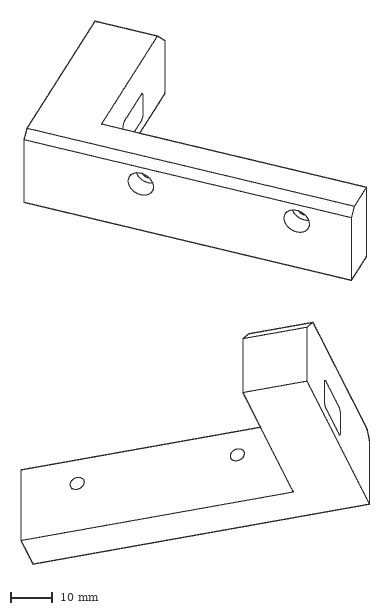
import cadquery as cq

LENGTH_X = 84.04
DEPTH_Y = 51.91
HEIGHT_Z = 21.0

LEG_WIDTH = 16.04
ARM_WIDTH = 10.0

FRONT_CHAMFER = 2.0
BACK_CHAMFER = 5.0

SCREW_DIAMETER = 3.5
HEAD_DIAMETER = 6.5
HEAD_DEPTH = 5.0
FIRST_SCREW_X = 30.0
SCREW_SPACING = 40.0
SCREW_COUNT = 2
SCREW_Z = 14.0

WINDOW_WIDTH = 13.0
WINDOW_HEIGHT = 8.0
WINDOW_CORNER_RADIUS = 1.0
WINDOW_CENTER_Y = 30.75
WINDOW_BOTTOM_Z = 3.0


def make_body():
    """L-shaped block with its outer corner at the origin and chamfered top edges."""
    plan = [
        (0, 0),
        (LENGTH_X, 0),
        (LENGTH_X, ARM_WIDTH),
        (LEG_WIDTH, ARM_WIDTH),
        (LEG_WIDTH, DEPTH_Y),
        (0, DEPTH_Y),
    ]
    body = cq.Workplane("XY").polyline(plan).close().extrude(HEIGHT_Z)
    body = body.faces("<Y").edges(">Z").chamfer(FRONT_CHAMFER)
    return body.faces(">Y").edges(">Z").chamfer(BACK_CHAMFER)


def make_screw_hole(x):
    """Through hole along Y with a counterbore for the screw head in the front face."""
    front = cq.Workplane("XZ").center(x, SCREW_Z)
    shank = front.circle(SCREW_DIAMETER / 2).extrude(-ARM_WIDTH)
    head = front.circle(HEAD_DIAMETER / 2).extrude(-HEAD_DEPTH)
    return shank.union(head)


def make_window():
    """Rounded rectangular opening running along X through the leg."""
    center_z = WINDOW_BOTTOM_Z + WINDOW_HEIGHT / 2
    return (
        cq.Workplane("YZ")
        .center(WINDOW_CENTER_Y, center_z)
        .rect(WINDOW_WIDTH, WINDOW_HEIGHT)
        .extrude(LEG_WIDTH)
        .edges("|X")
        .fillet(WINDOW_CORNER_RADIUS)
    )


result = make_body().cut(make_window())
for index in range(SCREW_COUNT):
    screw_x = FIRST_SCREW_X + index * SCREW_SPACING
    result = result.cut(make_screw_hole(screw_x))